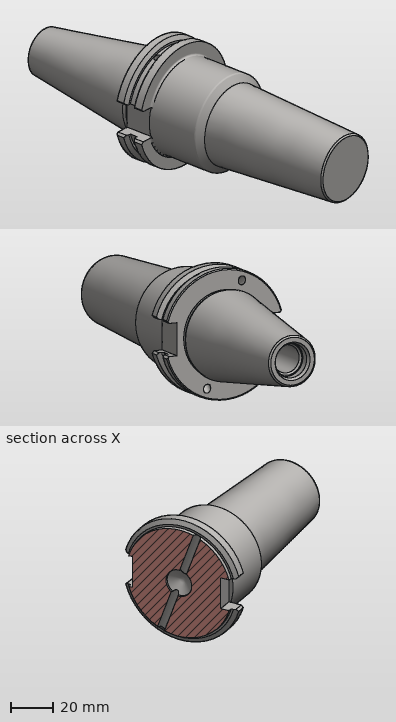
import cadquery as cq
import math

total_length = 188.2
gauge_x = 68.1
relief_end_x = 69.7
flange_front_x = 71.3
flange_width = 15.8
flange_back_x = flange_front_x + flange_width
groove_center_x = 79.3
shoulder_x = 115.5
nose_start_x = 118.2

gauge_radius = 22.2
taper_slope = 7 / 48
relief_radius = 21.6
flange_diameter = 63.5
flange_radius = flange_diameter / 2
body_radius = 24.8
nose_start_radius = 20.9
nose_end_radius = 17.1

end_chamfer = 0.8
flange_chamfer = 0.5
root_fillet = 1.0
shoulder_fillet = 1.0

groove_floor_radius = 28.2
groove_floor_width = 4.0
groove_step_radius = 29.4
groove_half_angle = 30.0

slot_width = 16.0
slot_front_floor = 22.5
slot_back_floor = 25.0
slot_corner_chamfer = 1.1
slot_overcut = 1.9

bore_mouth_radius = 9.2
bore_mouth_depth = 1.7
pilot_radius = 8.3
pilot_depth = 5.6
thread_radius = 6.8
thread_depth = 80.2
bore_chamfer = 1.0
drill_point_angle = 118.0

coolant_angle = 20.0
coolant_face_radius = 27.0
coolant_tilt = 30.0
coolant_diameter = 3.8


def revolve_about_x(points):
    """Revolve a closed (x, radius) outline about the X axis."""
    return cq.Workplane("XY").polyline(points).close().revolve(360, (0, 0, 0), (1, 0, 0))


def make_core():
    """Taper shank, body and tapered nose without the flange."""
    small_end_radius = gauge_radius - gauge_x * taper_slope
    nose_slope = (nose_start_radius - nose_end_radius) / (total_length - nose_start_x)
    core = revolve_about_x([
        (0, 0),
        (0, small_end_radius - end_chamfer),
        (end_chamfer, small_end_radius + end_chamfer * taper_slope),
        (gauge_x, gauge_radius),
        (relief_end_x, relief_radius),
        (flange_front_x, relief_radius),
        (flange_front_x, body_radius),
        (shoulder_x, body_radius),
        (nose_start_x, nose_start_radius),
        (total_length - end_chamfer, nose_end_radius + end_chamfer * nose_slope),
        (total_length, nose_end_radius - end_chamfer),
        (total_length, 0),
    ])
    select_margin = 0.2
    shoulder_edge = cq.selectors.BoxSelector(
        (shoulder_x - select_margin, -flange_radius, -flange_radius),
        (shoulder_x + select_margin, flange_radius, flange_radius),
        boundingbox=True,
    )
    return core.edges(shoulder_edge).fillet(shoulder_fillet)


def make_flange():
    """Grooved flange disc, with the fillet that joins its back to the body."""
    half_floor = groove_floor_width / 2
    flare = (flange_radius - groove_step_radius) * math.tan(math.radians(groove_half_angle))
    half_mouth = half_floor + flare
    fillet_turn = root_fillet * (1 - math.sqrt(0.5))
    return (
        cq.Workplane("XY")
        .moveTo(flange_front_x, 0)
        .lineTo(flange_front_x, flange_radius - flange_chamfer)
        .lineTo(flange_front_x + flange_chamfer, flange_radius)
        .lineTo(groove_center_x - half_mouth, flange_radius)
        .lineTo(groove_center_x - half_floor, groove_step_radius)
        .lineTo(groove_center_x - half_floor, groove_floor_radius)
        .lineTo(groove_center_x + half_floor, groove_floor_radius)
        .lineTo(groove_center_x + half_floor, groove_step_radius)
        .lineTo(groove_center_x + half_mouth, flange_radius)
        .lineTo(flange_back_x, flange_radius)
        .lineTo(flange_back_x, body_radius + root_fillet)
        .threePointArc(
            (flange_back_x + fillet_turn, body_radius + fillet_turn),
            (flange_back_x + root_fillet, body_radius),
        )
        .lineTo(flange_back_x + root_fillet, 0)
        .close()
        .revolve(360, (0, 0, 0), (1, 0, 0))
    )


def slot_cutter(side, floor, x_end):
    """Slot with flared outer corners; side is +1 for +Y and -1 for -Y."""
    half = slot_width / 2
    flare_half = half + slot_corner_chamfer
    flare_y = math.sqrt(flange_radius**2 - flare_half**2)
    outer_y = flange_radius + slot_overcut
    outer_half = flare_half + outer_y - flare_y
    return (
        cq.Workplane("YZ", origin=(flange_front_x, 0, 0))
        .polyline([
            (side * floor, -half),
            (side * (flare_y - slot_corner_chamfer), -half),
            (side * outer_y, -outer_half),
            (side * outer_y, outer_half),
            (side * (flare_y - slot_corner_chamfer), half),
            (side * floor, half),
        ])
        .close()
        .extrude(x_end - flange_front_x)
    )


def make_bore():
    """Chamfered pilot, thread core hole and its conical drill point."""
    point_length = thread_radius / math.tan(math.radians(drill_point_angle / 2))
    return revolve_about_x([
        (0, 0),
        (0, bore_mouth_radius),
        (bore_mouth_depth, pilot_radius),
        (pilot_depth, pilot_radius),
        (pilot_depth, thread_radius + bore_chamfer),
        (pilot_depth + bore_chamfer, thread_radius),
        (thread_depth, thread_radius),
        (thread_depth + point_length, 0),
    ])


def make_coolant_holes():
    """Two opposite channels: each enters the flange face and meets a radial hole to the bore."""
    tilt = math.radians(coolant_tilt)
    inward = cq.Vector(math.cos(tilt), 0, -math.sin(tilt))
    run_out = coolant_diameter
    entry = cq.Vector(flange_front_x, 0, coolant_face_radius)
    depth = (groove_center_x - flange_front_x) / math.cos(tilt)
    face_hole = cq.Workplane(cq.Solid.makeCylinder(
        coolant_diameter / 2, depth + run_out, entry - inward * run_out, inward
    ))
    radial_hole = (
        cq.Workplane("XY", origin=(groove_center_x, 0, 0))
        .circle(coolant_diameter / 2)
        .extrude(flange_radius)
    )
    channel = face_hole.union(radial_hole).rotate((0, 0, 0), (1, 0, 0), coolant_angle)
    return channel.union(channel.rotate((0, 0, 0), (1, 0, 0), 180))


core = make_core()
flange = make_flange()
for side, floor in ((-1, slot_front_floor), (1, slot_back_floor)):
    core = core.cut(slot_cutter(side, floor, flange_back_x))
    flange = flange.cut(slot_cutter(side, floor, flange_back_x + root_fillet))

result = core.union(flange).cut(make_bore()).cut(make_coolant_holes())